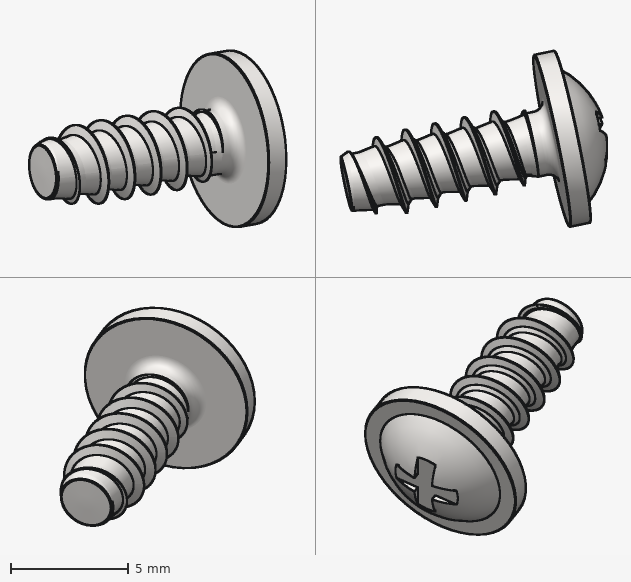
import cadquery as cq
import math

overall_length = 11.31
flange_diameter = 7.5
flange_thickness = 0.9
flange_edge_chamfer = 0.03

head_height = 2.31
dome_radius = 3.78
slot_width = 0.87
slot_depth = 0.28

shank_length = overall_length - head_height
neck_radius = 1.38
neck_length = 0.87
neck_fillet = 0.5
runin_length = 0.55

core_radius = 1.21
tip_cone_height = 0.03
tip_face_radius = 1.13
tip_rim_radius = 1.18
tip_edge_height = 0.02
tip_taper_angle = 25.0
tip_y = -shank_length + tip_cone_height

pitch = 1.29
first_turn_y = -1.58
crest_radius = 1.75
crest_half_width = 0.02
knee_radius = 1.39
knee_offset = 0.15
root_offset = 0.34
land_radius = 1.33
land_offset = 0.16
land_end_offset = 0.93
thread_foot_radius = 1.19
buried_radius = 1.02

start_turn = -1.0
start_crest_radius = 1.4
full_depth_turn = 0.5
taper_turn = 4.25
end_turn = 6.0
end_crest_radius = 1.14
minimum_tooth_scale = 0.05
turns_per_length = 0.5
sections_per_length = 8


def make_head():
    """Flange with a spherical dome and a crossed slot."""
    flange = (
        cq.Workplane("XZ")
        .circle(flange_diameter / 2)
        .extrude(-flange_thickness)
        .edges()
        .chamfer(flange_edge_chamfer)
    )
    corner_radius = slot_width / math.sqrt(2)
    centre_y = head_height - math.sqrt(dome_radius**2 - corner_radius**2)
    base_radius = math.sqrt(dome_radius**2 - (flange_thickness - centre_y) ** 2)
    apex_y = centre_y + dome_radius
    mid_radius = base_radius / 2
    mid_y = centre_y + math.sqrt(dome_radius**2 - mid_radius**2)
    dome = (
        cq.Workplane("XY")
        .moveTo(0, flange_thickness)
        .lineTo(base_radius, flange_thickness)
        .threePointArc((mid_radius, mid_y), (0, apex_y))
        .close()
        .revolve(360, (0, 0, 0), (0, 1, 0))
    )
    slot = (
        cq.Workplane("XY")
        .box(slot_width, 2 * slot_depth, flange_diameter)
        .translate((0, head_height, 0))
    )
    cross_slot = slot.union(slot.rotate((0, 0, 0), (0, 1, 0), 90))
    return flange.union(dome.cut(cross_slot))


def make_shank():
    """Filleted neck, run-in cone and cylindrical core running past the tip."""
    flare_radius = neck_radius + neck_fillet
    arc_reach = neck_fillet * math.sqrt(0.5)
    return (
        cq.Workplane("XY")
        .lineTo(flare_radius, 0)
        .threePointArc(
            (flare_radius - arc_reach, -neck_fillet + arc_reach),
            (neck_radius, -neck_fillet),
        )
        .lineTo(neck_radius, -neck_length)
        .lineTo(core_radius, -neck_length - runin_length)
        .lineTo(core_radius, -shank_length - pitch)
        .lineTo(0, -shank_length - pitch)
        .close()
        .revolve(360, (0, 0, 0), (0, 1, 0))
    )


def interpolate(value, low, high, at_low, at_high):
    """Straight-line blend, held constant outside the low to high range."""
    share = min(max((value - low) / (high - low), 0), 1)
    return at_low + share * (at_high - at_low)


def tooth_scale(turn):
    """Share of the full tooth left, growing at the neck and fading at the tip."""
    if turn < taper_turn:
        radius = interpolate(turn, start_turn, full_depth_turn, start_crest_radius, crest_radius)
    else:
        radius = interpolate(turn, taper_turn, end_turn, crest_radius, end_crest_radius)
    scale = (radius - land_radius) / (crest_radius - land_radius)
    return max(scale, minimum_tooth_scale)


def thread_section(turn):
    """Closed thread profile in the plane through the axis at the given turn."""
    scale = tooth_scale(turn)
    crest = land_radius + scale * (crest_radius - land_radius)
    knee = core_radius + scale * (knee_radius - core_radius)
    profile = [
        (buried_radius, -land_end_offset),
        (thread_foot_radius, -land_end_offset),
        (land_radius, -scale * land_offset),
        (crest, -scale * crest_half_width),
        (crest, scale * crest_half_width),
        (knee, scale * knee_offset),
        (thread_foot_radius, scale * root_offset),
        (buried_radius, scale * root_offset),
    ]
    crest_y = min(first_turn_y - pitch * turn, -neck_length)
    angle = 2 * math.pi * turn
    points = [
        cq.Vector(radius * math.cos(angle), crest_y + offset, radius * math.sin(angle))
        for radius, offset in profile
    ]
    return cq.Wire.makePolygon(points, close=True)


def thread_length(first_turn):
    """One stretch of right-handed thread lofted through sections along the helix."""
    sections = [
        thread_section(first_turn + turns_per_length * index / sections_per_length)
        for index in range(sections_per_length + 1)
    ]
    return cq.Solid.makeLoft(sections)


def make_tip_cutter():
    """Everything beyond the tip: leaves a shallow end cone and a steep tapered edge."""
    rim_y = tip_y + tip_edge_height
    bottom_y = -shank_length - 2 * pitch
    taper_height = 2 * pitch
    outer_radius = tip_rim_radius + taper_height * math.tan(math.radians(tip_taper_angle))
    return (
        cq.Workplane("XY")
        .moveTo(0, -shank_length)
        .lineTo(tip_face_radius, tip_y)
        .lineTo(tip_rim_radius, rim_y)
        .lineTo(outer_radius, rim_y + taper_height)
        .lineTo(outer_radius, bottom_y)
        .lineTo(0, bottom_y)
        .close()
        .revolve(360, (0, 0, 0), (0, 1, 0))
    )


def make_threaded_shank():
    """Shank with the thread added half a turn at a time and trimmed at the tip."""
    shank = make_shank().val()
    length_count = round((end_turn - start_turn) / turns_per_length)
    for index in range(length_count):
        shank = shank.fuse(thread_length(start_turn + index * turns_per_length))
    return cq.Workplane(obj=shank).cut(make_tip_cutter())


result = make_head().union(make_threaded_shank())